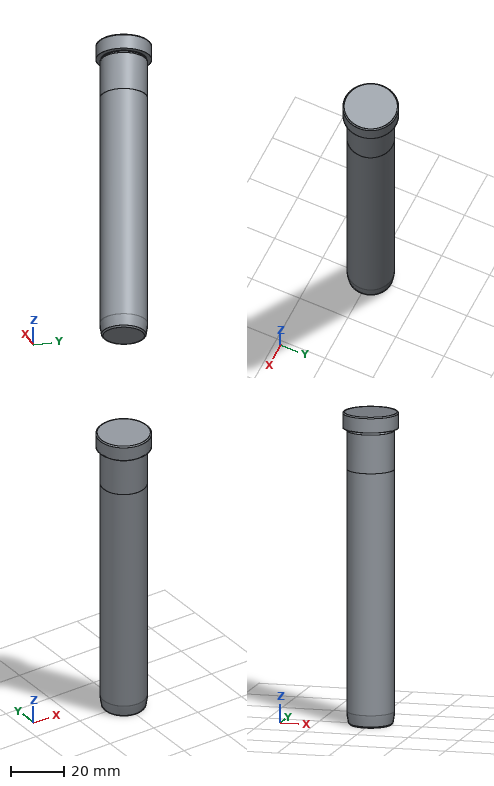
import cadquery as cq

length = 120.0
shank_radius = 9.0

head_radius = 10.5
head_height = 6.0
head_chamfer = 0.5

groove_radius = 8.6
groove_flat = 0.4
groove_taper = 0.7

joint_depth = 22.0

tip_height = 5.0
tip_radius = 8.4
tip_crown = 0.1
tip_chamfer = 0.6

head_bottom = length - head_height
groove_bottom = head_bottom - groove_flat
collar_top = groove_bottom - groove_taper
joint_z = length - joint_depth


def make_headed_pin():
    """Chamfered head, relief groove and upper shank, revolved about Z."""
    profile = (
        cq.Workplane("XZ")
        .moveTo(0, joint_z)
        .lineTo(shank_radius, joint_z)
        .lineTo(shank_radius, collar_top)
        .lineTo(groove_radius, groove_bottom)
        .lineTo(groove_radius, head_bottom)
        .lineTo(head_radius, head_bottom)
        .lineTo(head_radius, length - head_chamfer)
        .lineTo(head_radius - head_chamfer, length)
        .lineTo(0, length)
        .close()
    )
    return profile.revolve(360, (0, 0), (0, 1))


def make_lower_shank():
    """Plain shank with a crowned, chamfered tip, revolved about Z."""
    crown_mid_radius = (shank_radius + tip_radius) / 2 + tip_crown
    crown_mid_z = (tip_height + tip_chamfer) / 2
    profile = (
        cq.Workplane("XZ")
        .lineTo(tip_radius - tip_chamfer, 0)
        .lineTo(tip_radius, tip_chamfer)
        .threePointArc((crown_mid_radius, crown_mid_z), (shank_radius, tip_height))
        .lineTo(shank_radius, joint_z)
        .lineTo(0, joint_z)
        .close()
    )
    return profile.revolve(360, (0, 0), (0, 1))


headed_pin = make_headed_pin()
lower_shank = make_lower_shank()

result = cq.Compound.makeCompound([headed_pin.val(), lower_shank.val()])